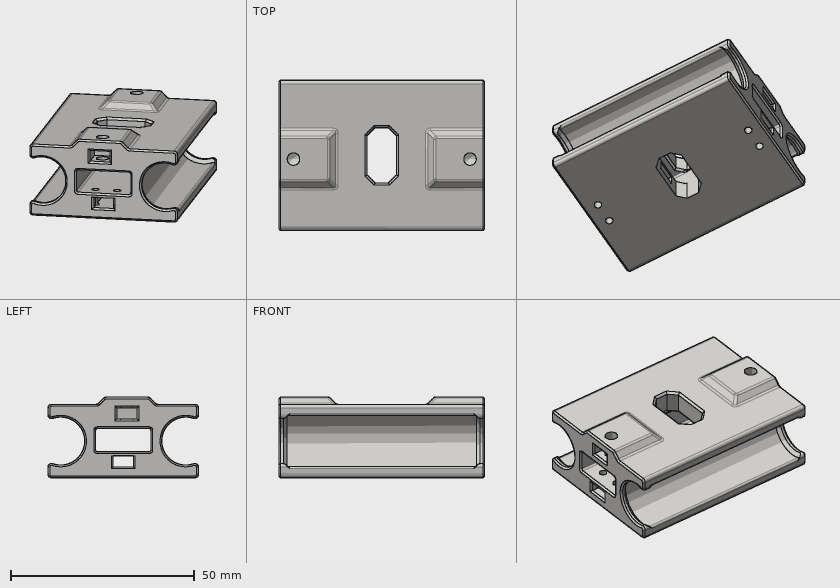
import cadquery as cq
import math

length = 56.0
width = 40.93
plate_top = 20.0
total_height = 22.0
half_length = length / 2
half_width = width / 2
long_edge_radius = 1.0
end_chamfer = 0.5
chamfer_angle = 45.0

groove_y = 17.0
groove_z = plate_top / 2
mouth_radius = 6.5
bearing_radius = 7.5
mouth_lip_radius = 1.0
bearing_lip_radius = 0.5
shoulder_start = 1.25

pad_y = -1.0
pad_base_length = 15.7
pad_base_width = 16.0
pad_slope_run = 2.0
pad_blend_radius = 1.0
pad_corner_radius = 1.0

screw_inset = 4.0
screw_diameter = 3.4
screw_bottom = 15.0
drill_point_angle = 118.0
nut_pocket_width = 5.5
nut_pocket_height = 3.0
nut_pocket_bottom = 16.0
nut_pocket_depth = screw_inset + nut_pocket_width / 2

window_width = 15.0
window_bottom = 7.1
window_top = 13.4
window_corner_radius = 0.5
slot_width = 5.5
slot_height = 3.0
slot_bottom = 3.0

octagon_length = 8.0
octagon_width = 15.0
octagon_corner = 2.2
octagon_chamfer = 0.6

floor_hole_diameter = 2.0
floor_hole_inset = 4.25
floor_hole_y = 3.0

both_ways = (-1, 1)
seek_margin = 0.01


def box(x_min, x_max, y_mid, y_size, z_min, z_max):
    """Axis-aligned box centred on y_mid."""
    size_x = x_max - x_min
    return cq.Workplane("XY").box(size_x, y_size, z_max - z_min).translate(
        ((x_min + x_max) / 2, y_mid, (z_min + z_max) / 2)
    )


def groove_cutter(radius, lip_radius):
    """Groove at +Y whose mouth blends into the side face through rounded lips."""
    lip_y = half_width - lip_radius
    lip_rise = math.sqrt((radius + lip_radius)**2 - (lip_y - groove_y)**2)
    touch_scale = radius / (radius + lip_radius)
    touch_y = groove_y + (lip_y - groove_y) * touch_scale
    touch_rise = lip_rise * touch_scale
    lip_angle = math.atan2(-lip_rise, groove_y - lip_y) / 2
    mid_y = lip_y + lip_radius * math.cos(lip_angle)
    mid_rise = lip_rise + lip_radius * math.sin(lip_angle)
    outside_y = half_width + radius
    return (
        cq.Workplane("YZ", origin=(-half_length, 0, groove_z))
        .moveTo(outside_y, lip_rise)
        .lineTo(half_width, lip_rise)
        .threePointArc((mid_y, mid_rise), (touch_y, touch_rise))
        .threePointArc((groove_y - radius, 0), (touch_y, -touch_rise))
        .threePointArc((mid_y, -mid_rise), (half_width, -lip_rise))
        .lineTo(outside_y, -lip_rise)
        .close()
        .extrude(length)
    )


def shoulder_envelope():
    """Spindle on the groove axis with 45 degree cones rising from each mouth."""
    cone_base = half_length - shoulder_start
    cone_rise = 2 * bearing_radius
    return (
        cq.Workplane("XY", origin=(0, groove_y, groove_z))
        .moveTo(-cone_base, 0)
        .lineTo(-cone_base, mouth_radius)
        .lineTo(-cone_base + cone_rise, mouth_radius + cone_rise)
        .lineTo(cone_base - cone_rise, mouth_radius + cone_rise)
        .lineTo(cone_base, mouth_radius)
        .lineTo(cone_base, 0)
        .close()
        .revolve(360, (0, 0, 0), (1, 0, 0))
    )


def both_sides(cutter):
    """The +Y cutter together with its mirror image at -Y."""
    return cutter.union(cutter.mirror("XZ"))


def pad():
    """Sloped pad at the -X end with rounded corners between its slopes."""
    x_start = -half_length
    x_foot = x_start + pad_base_length
    half_base = pad_base_width / 2
    half_top = half_base - pad_slope_run
    x_top = x_foot - pad_slope_run
    prism = (
        cq.Workplane("YZ", origin=(x_start, pad_y, 0))
        .polyline([
            (-half_base, plate_top), (half_base, plate_top),
            (half_top, total_height), (-half_top, total_height),
        ])
        .close()
        .extrude(pad_base_length)
    )
    ramp_limit = (
        cq.Workplane("XZ", origin=(0, pad_y + half_base, 0))
        .polyline([
            (x_start, plate_top), (x_foot, plate_top),
            (x_top, total_height), (x_start, total_height),
        ])
        .close()
        .extrude(pad_base_width)
    )
    wedge = prism.intersect(ramp_limit)
    sloped_corners = cq.selectors.BoxSelector(
        (x_top, pad_y - pad_base_width, plate_top + seek_margin),
        (x_foot, pad_y + pad_base_width, total_height - seek_margin),
    )
    return wedge.edges(sloped_corners).fillet(pad_corner_radius)


def plate():
    """Rectangular block with its four long edges rounded."""
    block = box(-half_length, half_length, 0, width, 0, plate_top)
    return block.edges("|X").fillet(long_edge_radius)


def add_pads(body):
    """Join a pad at each end, blend its foot into the plate and round its top."""
    left_pad = pad()
    body = body.union(left_pad).union(left_pad.mirror("YZ"))
    inner_half = half_length - seek_margin
    top_ring = cq.selectors.BoxSelector(
        (-inner_half, pad_y - pad_base_width, total_height - seek_margin),
        (inner_half, pad_y + pad_base_width, total_height + seek_margin),
    )
    foot_ring = cq.selectors.BoxSelector(
        (-inner_half, pad_y - pad_base_width / 2 - seek_margin, plate_top - seek_margin),
        (inner_half, pad_y + pad_base_width / 2 + seek_margin, plate_top + seek_margin),
    )
    body = body.edges(foot_ring).fillet(pad_blend_radius)
    return body.edges(top_ring).fillet(pad_blend_radius)


def window():
    """Central rectangular passage along the whole length."""
    passage = box(-half_length, half_length, 0, window_width, window_bottom, window_top)
    return passage.edges("|X").fillet(window_corner_radius)


def octagon_section(margin, z):
    """Octagon outline at height z, grown outward by margin."""
    x_side = octagon_length / 2 + margin
    y_side = octagon_width / 2 + margin
    corner = octagon_corner + margin * (2 - math.sqrt(2))
    return (
        cq.Workplane("XY", origin=(0, 0, z))
        .polyline([
            (x_side, corner - y_side), (x_side, y_side - corner),
            (x_side - corner, y_side), (corner - x_side, y_side),
            (-x_side, y_side - corner), (-x_side, corner - y_side),
            (corner - x_side, -y_side), (x_side - corner, -y_side),
        ])
        .close()
    )


def octagon_flare(z_rim, depth):
    """45 degree flare, widest at z_rim and ending at z_rim + depth."""
    return octagon_section(abs(depth), z_rim).extrude(depth, taper=chamfer_angle)


def octagon_opening():
    """Vertical shaft chamfered at the plate top and at the window ceiling."""
    shaft = octagon_section(0, 0).extrude(plate_top)
    upper_rim = octagon_flare(plate_top, -octagon_chamfer)
    ceiling_rim = octagon_flare(window_top, octagon_chamfer)
    return shaft.union(upper_rim).union(ceiling_rim)


def screw_hole(x):
    """Blind drilled hole from the pad top, ending in a conical point."""
    radius = screw_diameter / 2
    point_depth = radius / math.tan(math.radians(drill_point_angle / 2))
    return (
        cq.Workplane("XZ", origin=(x, pad_y, 0))
        .polyline([
            (0, total_height), (radius, total_height),
            (radius, screw_bottom), (0, screw_bottom - point_depth),
        ])
        .close()
        .revolve(360, (0, 0, 0), (0, 1, 0))
    )


def floor_holes():
    """Two small holes near each end, from the window floor to the underside."""
    hole_x = half_length - floor_hole_inset
    centres = [(x_sign * hole_x, y_sign * floor_hole_y) for x_sign in both_ways for y_sign in both_ways]
    return (
        cq.Workplane("XY")
        .pushPoints(centres)
        .circle(floor_hole_diameter / 2)
        .extrude(window_bottom)
    )


def cut_lower_slot(body):
    """Slot along the whole length, its end edges chamfered except on top."""
    slot_top = slot_bottom + slot_height
    body = body.cut(box(-half_length, half_length, 0, slot_width, slot_bottom, slot_top))
    y_reach = slot_width / 2 + seek_margin
    side_and_floor_edges = cq.selectors.BoxSelector(
        (-half_length - seek_margin, -y_reach, slot_bottom - seek_margin),
        (half_length + seek_margin, y_reach, slot_top - seek_margin),
    )
    return body.faces("<X or >X").edges(side_and_floor_edges).chamfer(end_chamfer)


def nut_pocket():
    """Blind pocket at the -X end that crosses the screw hole."""
    x_end = -half_length + nut_pocket_depth
    z_top = nut_pocket_bottom + nut_pocket_height
    return box(-half_length, x_end, pad_y, nut_pocket_width, nut_pocket_bottom, z_top)


body = add_pads(plate())
body = body.cut(both_sides(groove_cutter(mouth_radius, mouth_lip_radius)))
body = body.cut(window())
pocket = nut_pocket()
body = body.cut(pocket).cut(pocket.mirror("YZ"))
body = body.faces("<X or >X").edges().chamfer(end_chamfer)

seat = groove_cutter(bearing_radius, bearing_lip_radius).intersect(shoulder_envelope())
body = body.cut(both_sides(seat))

body = cut_lower_slot(body)
body = body.cut(octagon_opening())
for sign in both_ways:
    body = body.cut(screw_hole(sign * (half_length - screw_inset)))
result = body.cut(floor_holes())